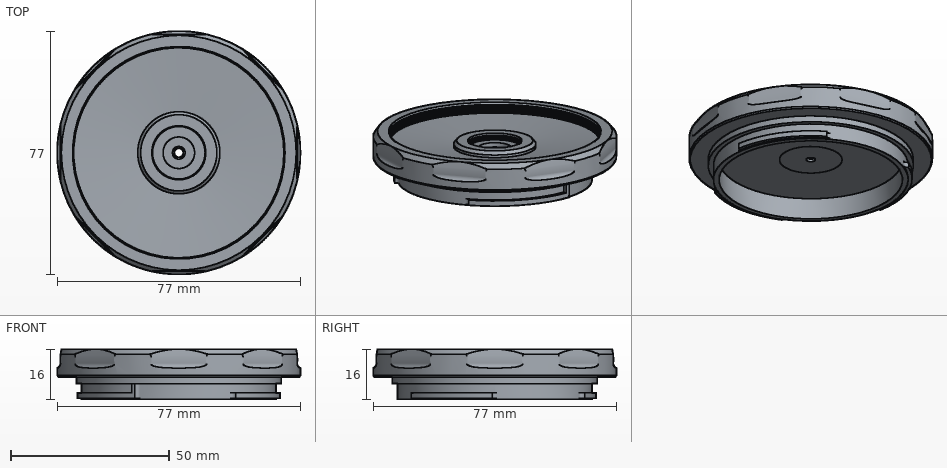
import cadquery as cq
import math

total_height = 15.95
grip_bottom = 7.1
flange_bottom = 5.05
boss_top = 12.9
boss_floor = 10.75
insert_top = 9.35
insert_floor = 8.5
neck_bore_ceiling = 7.0

grip_radius = 38.5
grip_top_radius = 37.1
grip_top_chamfer_height = 1.6
grip_bottom_chamfer_width = 0.4
grip_bottom_chamfer_height = 0.5
flat_count = 8
flat_distance = 37.53
flat_bottom = 11.35
flat_cove_radius = 1.5
flat_crown_radius = 13.0
crown_height = 12.6

rim_minor_radius = 33.2
rim_major_radius = 33.6
rim_pitch = 0.7
rim_groove_count = 4
thread_land_ratio = 0.25
lead_in_height = 0.55
dish_outer_height = 12.5
dish_inner_height = 10.95

boss_radius = 26.0 / 2
boss_chamfer_width = 0.95
boss_chamfer_height = 1.1
bore_minor_radius = 16.6 / 2
bore_major_radius = 8.55
bore_pitch = 0.45
bore_groove_count = 3
counterbore_radius = 10.0 / 2

flange_radius = 64.9 / 2
neck_radius = 61.6 / 2
neck_bore_radius = 58.0 / 2
tab_radius = 64.1 / 2
tab_root_radius = (neck_bore_radius + neck_radius) / 2
tab_top = 2.1
tab_bottom = 0.38
stop_end = 246.7
tab_spans = [(180.0, stop_end), (302.0, 361.0), (60.0, 119.0)]
tab_end_radius = tab_radius - neck_radius
tab_end_angle = math.degrees(tab_end_radius / neck_radius)
stop_span = (242.2, stop_end)

insert_radius = 19.8 / 2
pinhole_radius = 2.8 / 2
pinhole_chamfer = 0.6


def revolve_profile(points):
    """Solid of revolution about Z from (radius, height) points."""
    profile = cq.Workplane("XZ").polyline(points).close()
    return profile.revolve(360, (0, 0, 0), (0, 1, 0))


def thread_profile(minor_radius, major_radius, top, pitch, groove_count):
    """Points of a row of V grooves, running down from the height `top`."""
    land = thread_land_ratio * pitch
    points = []
    for i in range(groove_count):
        groove_top = top - i * pitch
        points.append((minor_radius, groove_top - land / 2))
        points.append((major_radius, groove_top - pitch / 2))
        points.append((minor_radius, groove_top - pitch + land / 2))
    return points


def turned_body():
    outside = [
        (neck_bore_radius, 0),
        (neck_radius, 0),
        (neck_radius, flange_bottom),
        (flange_radius, flange_bottom),
        (flange_radius, grip_bottom),
        (grip_radius - grip_bottom_chamfer_width, grip_bottom),
        (grip_radius, grip_bottom + grip_bottom_chamfer_height),
        (grip_radius, total_height - grip_top_chamfer_height),
        (grip_top_radius, total_height),
    ]
    rim = [(rim_major_radius, total_height)]
    rim += thread_profile(rim_minor_radius, rim_major_radius, total_height - lead_in_height,
                          rim_pitch, rim_groove_count)
    dish_and_boss = [
        (rim_minor_radius, dish_outer_height),
        (boss_radius, dish_inner_height),
        (boss_radius, boss_top - boss_chamfer_height),
        (boss_radius - boss_chamfer_width, boss_top),
    ]
    bore = [(bore_major_radius, boss_top)]
    bore += thread_profile(bore_minor_radius, bore_major_radius, boss_top - lead_in_height,
                           bore_pitch, bore_groove_count)
    bore += [
        (bore_minor_radius, boss_floor),
        (counterbore_radius, boss_floor),
        (counterbore_radius, insert_top),
        (insert_radius, insert_top),
        (insert_radius, neck_bore_ceiling),
        (neck_bore_radius, neck_bore_ceiling),
    ]
    return revolve_profile(outside + rim + dish_and_boss + bore)


def grip_flat_cutter():
    """Prism outside one slightly crowned grip flat, with a concave cove at the flat's lower end."""
    reach = flat_distance + flat_cove_radius

    def crown_point(height):
        return flat_distance - (height - crown_height) ** 2 / (2 * flat_crown_radius), height

    return (
        cq.Workplane("XZ")
        .moveTo(*crown_point(total_height))
        .threePointArc(crown_point(crown_height), crown_point(flat_bottom))
        .radiusArc((reach, flat_bottom - flat_cove_radius), -flat_cove_radius)
        .lineTo(reach, total_height)
        .close()
        .extrude(grip_radius, both=True)
    )


def polar_point(radius, angle):
    turn = math.radians(angle)
    return radius * math.cos(turn), radius * math.sin(turn)


def rim_sector(start, end, top, coved_start):
    """Sector around the neck: its end, and its start if asked, sweeps into the neck in a concave arc."""
    rim_start = start + tab_end_angle if coved_start else start
    rim_end = end - tab_end_angle
    rim_middle = (rim_start + rim_end) / 2
    root_middle = (start + end) / 2
    outline = cq.Workplane("XY").workplane(offset=tab_bottom)
    outline = outline.moveTo(*polar_point(tab_root_radius, start)).lineTo(*polar_point(neck_radius, start))
    if coved_start:
        outline = outline.radiusArc(polar_point(tab_radius, rim_start), tab_end_radius)
    else:
        outline = outline.lineTo(*polar_point(tab_radius, rim_start))
    return (
        outline
        .threePointArc(polar_point(tab_radius, rim_middle), polar_point(tab_radius, rim_end))
        .radiusArc(polar_point(neck_radius, end), tab_end_radius)
        .lineTo(*polar_point(tab_root_radius, end))
        .threePointArc(polar_point(tab_root_radius, root_middle), polar_point(tab_root_radius, start))
        .close()
        .extrude(top - tab_bottom)
    )


body = turned_body()
for i in range(flat_count):
    body = body.cut(grip_flat_cutter().rotate((0, 0, 0), (0, 0, 1), i * 360 / flat_count))
for start, end in tab_spans:
    body = body.union(rim_sector(start, end, tab_top, coved_start=True))
body = body.union(rim_sector(*stop_span, flange_bottom, coved_start=False))

insert = revolve_profile([
    (pinhole_radius, neck_bore_ceiling),
    (insert_radius, neck_bore_ceiling),
    (insert_radius, insert_top),
    (counterbore_radius, insert_top),
    (counterbore_radius, insert_floor),
    (pinhole_radius + pinhole_chamfer, insert_floor),
    (pinhole_radius, insert_floor - pinhole_chamfer),
])
result = cq.Compound.makeCompound([body.val(), insert.val()])